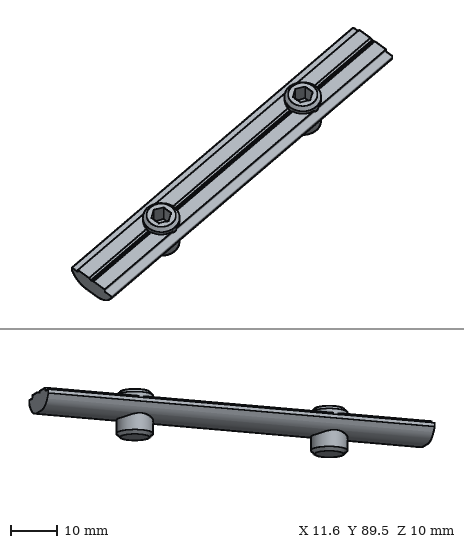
import cadquery as cq
import math

bar_length = 89.5
bar_width = 11.6
bar_bottom = 3.8
bar_top = 8.3
shoulder_height = 7.6
flange_bottom = 6.7
neck_width = 7.9
edge_radius = 0.3
groove_width = 1.3
groove_floor_width = 0.3
groove_depth = 0.3
flank_bottom_width = 10.2
flank_bottom = 5.6
belly_flat_width = 2.9

screw_diameter = 8.0
screw_length = 10.0
screw_chamfer = 0.8
screw_spacing = 45.0
socket_across_flats = 3.85
socket_depth = 4.0
socket_point_angle = 120.0

socket_across_corners = socket_across_flats / math.cos(math.radians(30))
socket_cone_radius = socket_across_corners / 2
socket_cone_depth = socket_cone_radius / math.tan(math.radians(socket_point_angle / 2))
screw_positions = [-screw_spacing / 2, screw_spacing / 2]


def make_screw(y):
    """Chamfered set screw with a hexagon socket that ends in a drill point."""
    screw = (
        cq.Workplane("XY")
        .circle(screw_diameter / 2)
        .extrude(screw_length)
        .faces("<Z or >Z")
        .chamfer(screw_chamfer)
    )
    socket_floor = screw_length - socket_depth
    hexagon = (
        cq.Workplane("XY", origin=(0, 0, socket_floor - socket_cone_depth))
        .polygon(6, socket_across_corners)
        .extrude(socket_depth + socket_cone_depth)
    )
    drill_shape = (
        cq.Workplane("XZ")
        .moveTo(0, socket_floor - socket_cone_depth)
        .lineTo(socket_cone_radius, socket_floor)
        .lineTo(socket_cone_radius, screw_length)
        .lineTo(0, screw_length)
        .close()
        .revolve(360, (0, 0, 0), (0, 1, 0))
    )
    return screw.cut(hexagon.intersect(drill_shape)).translate((0, y, 0))


def make_bar():
    """Extruded slot profile with a shallow centre groove and a hole for each screw."""
    right_half = [
        (groove_floor_width / 2, bar_top - groove_depth),
        (groove_width / 2, bar_top),
        (neck_width / 2, bar_top),
        (neck_width / 2, shoulder_height),
        (bar_width / 2, shoulder_height),
        (bar_width / 2, flange_bottom),
        (flank_bottom_width / 2, flank_bottom),
    ]
    left_half = [(-x, z) for x, z in reversed(right_half)]

    run = (flank_bottom_width - belly_flat_width) / 2
    rise = flank_bottom - bar_bottom
    radius = (run**2 + rise**2) / (2 * rise)
    half_sweep = math.atan2(rise, run)
    arc_mid_x = belly_flat_width / 2 + radius * math.sin(half_sweep)
    arc_mid_z = bar_bottom + radius * (1 - math.cos(half_sweep))

    bar = (
        cq.Workplane("XZ")
        .polyline(left_half + right_half)
        .threePointArc((arc_mid_x, arc_mid_z), (belly_flat_width / 2, bar_bottom))
        .lineTo(-belly_flat_width / 2, bar_bottom)
        .threePointArc((-arc_mid_x, arc_mid_z), (-flank_bottom_width / 2, flank_bottom))
        .close()
        .extrude(bar_length / 2, both=True)
    )

    rounded_corners = [
        (neck_width / 2, shoulder_height),
        (bar_width / 2, shoulder_height),
    ]
    for x, z in rounded_corners:
        for side in (-1, 1):
            corner = cq.selectors.NearestToPointSelector((side * x, 0, z))
            bar = bar.edges("|Y").edges(corner).fillet(edge_radius)

    holes = (
        cq.Workplane("XY")
        .pushPoints([(0, y) for y in screw_positions])
        .circle(screw_diameter / 2)
        .extrude(screw_length)
    )
    return bar.cut(holes)


bar = make_bar()
screws = [make_screw(y) for y in screw_positions]

result = cq.Compound.makeCompound([bar.val(), *[screw.val() for screw in screws]])